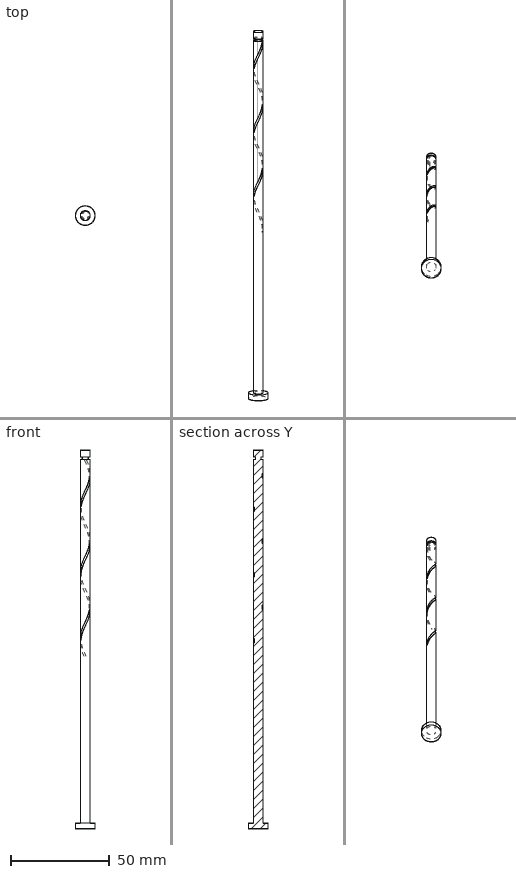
import cadquery as cq
import math

total_height = 192.06
flange_diameter = 10.0
flange_height = 3.0
shaft_diameter = 5.0
shaft_radius = shaft_diameter / 2

tip_height = 3.5
neck_height = 1.2
neck_diameter = 3.2
neck_top = total_height - tip_height
neck_bottom = neck_top - neck_height

helix_turns = 3
helix_height = 100.0
helix_start_z = neck_bottom - helix_height
helix_start_angle = 90.0
groove_diameter = 1.0


def cylinder(diameter, bottom_z, top_z):
    """Upright cylinder on the Z axis between two heights."""
    return cq.Workplane("XY", origin=(0, 0, bottom_z)).circle(diameter / 2).extrude(top_z - bottom_z)


def stepped_pin():
    """Flange, shaft, neck and tip joined along the Z axis."""
    flange = cylinder(flange_diameter, 0, flange_height)
    shaft = cylinder(shaft_diameter, flange_height, neck_bottom)
    neck = cylinder(neck_diameter, neck_bottom, neck_top)
    tip = cylinder(shaft_diameter, neck_top, total_height)
    return flange.union(shaft).union(neck).union(tip)


def helical_groove():
    """Cutter for the groove: a round rod swept along a helix on the shaft surface."""
    pitch = helix_height / helix_turns
    path = cq.Wire.makeHelix(pitch, helix_height, shaft_radius)
    start_point = (shaft_radius, 0, 0)
    start_direction = (0, math.pi * shaft_diameter, pitch)
    profile_plane = cq.Plane(origin=start_point, xDir=(1, 0, 0), normal=start_direction)
    rod = cq.Workplane(profile_plane).circle(groove_diameter / 2).sweep(cq.Workplane(obj=path), isFrenet=True)
    return rod.rotate((0, 0, 0), (0, 0, 1), helix_start_angle).translate((0, 0, helix_start_z))


result = stepped_pin().cut(helical_groove())